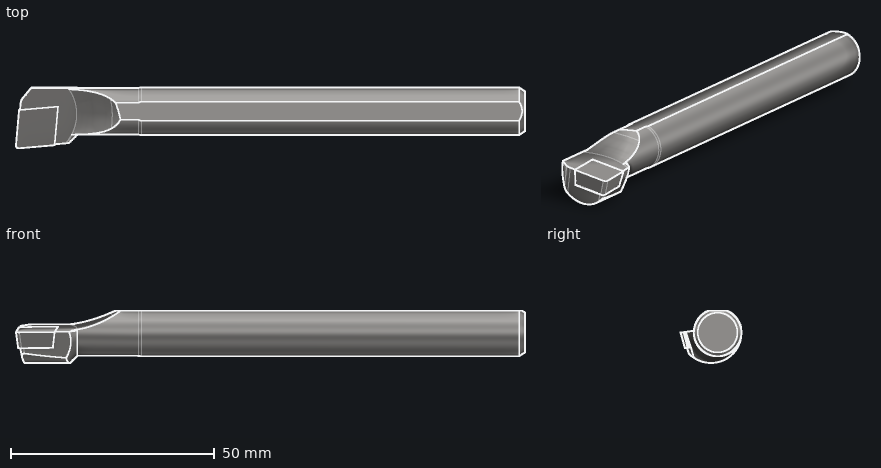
import cadquery as cq
import math

overall_length = 125.0
shank_radius = 5.9
flat_height = 5.4
shank_start = 30.8
shank_chamfer_length = 1.5
shank_chamfer_depth = 1.0
neck_radius = 5.8
neck_start = 11.2
neck_taper_length = 0.8

head_radius = 7.5
head_axis_y = shank_radius - head_radius
head_end = 15.1
corner_chamfer_x = 3.9
corner_chamfer_angle = 50.0
corner_blend_radius = 2.5

tip_y = -9.1
rake_angle = 8.0
insert_side = 9.6
insert_angle = 80.0
lead_angle = 5.0
insert_thickness = 4.0
insert_clearance = 7.0
nose_radius = 0.8

relief_step = 0.2
relief_clearance = 10.0
relief_side = 37.5
relief_depth = 11.2

gullet_axis_x = 3.8
gullet_axis_y = -0.6
gullet_flat_radius = 11.1
gullet_arc_reach = 8.8
gullet_start_angle = 8.0
gullet_end_angle = 31.0
gullet_rim_radius = 27.5

rake = math.radians(rake_angle)
rake_normal = (0, -math.sin(rake), math.cos(rake))
half_angle = math.radians(insert_angle / 2)
bisector = math.radians(lead_angle + insert_angle / 2)
nose_overshoot_x = nose_radius * (math.cos(bisector) / math.sin(half_angle) - 1)
nose_overshoot_y = nose_radius * (math.sin(bisector) / math.sin(half_angle) - 1)
rake_plane = cq.Plane(
    origin=(-nose_overshoot_x, tip_y - nose_overshoot_y * math.cos(rake), 0),
    xDir=(1, 0, 0),
    normal=rake_normal,
)


def rhombus_prism(side, inset, depth, clearance):
    """Rhombus below the rake face, its sides leaning inwards as they go down and its nose rounded."""
    flank = math.radians(lead_angle)
    front = math.radians(lead_angle + insert_angle)
    flank_edge = (side * math.cos(flank), side * math.sin(flank))
    front_edge = (side * math.cos(front), side * math.sin(front))
    far_corner = (flank_edge[0] + front_edge[0], flank_edge[1] + front_edge[1])
    prism = (
        cq.Workplane(rake_plane)
        .center(inset, inset)
        .polyline([(0, 0), flank_edge, far_corner, front_edge])
        .close()
        .extrude(-depth, taper=clearance)
    )
    rake_direction = cq.Vector(*rake_normal)
    side_edges = prism.edges(-cq.selectors.PerpendicularDirSelector(rake_direction))
    return side_edges.edges("<Y").fillet(nose_radius)


def make_insert():
    return rhombus_prism(insert_side, 0, insert_thickness, insert_clearance)


def make_head_blank():
    cylinder = cq.Workplane("YZ", origin=(0, head_axis_y, 0)).circle(head_radius).extrude(head_end)
    envelope_radius = head_radius - head_axis_y
    cone_start = head_end - (envelope_radius - neck_radius)
    profile = [
        (0, 0),
        (0, envelope_radius),
        (cone_start, envelope_radius),
        (head_end, neck_radius),
        (head_end, 0),
    ]
    envelope = (
        cq.Workplane("XY")
        .polyline(profile)
        .close()
        .revolve(360, (0, 0, 0), (1, 0, 0))
    )
    return cylinder.intersect(envelope)


def make_relief():
    return rhombus_prism(relief_side, relief_step, relief_depth, relief_clearance)


def make_corner_cutter():
    reach = corner_chamfer_x * math.tan(math.radians(corner_chamfer_angle))
    return (
        cq.Workplane("XY")
        .polyline([(0, shank_radius - reach), (corner_chamfer_x, shank_radius), (0, shank_radius)])
        .close()
        .extrude(head_radius, both=True)
    )


def make_shank():
    """Round shank and neck with one flat along the top."""
    chamfer_start = overall_length - shank_chamfer_length
    profile = [
        (neck_start, 0),
        (neck_start, neck_radius),
        (shank_start - neck_taper_length, neck_radius),
        (shank_start, shank_radius),
        (chamfer_start, shank_radius),
        (overall_length, shank_radius - shank_chamfer_depth),
        (overall_length, 0),
    ]
    bar = cq.Workplane("XY").polyline(profile).close().revolve(360, (0, 0, 0), (1, 0, 0))
    above_flat = (
        cq.Workplane("XY", origin=(0, 0, flat_height))
        .rect(2 * overall_length, 2 * shank_radius)
        .extrude(shank_radius)
    )
    return bar.cut(above_flat)


def make_gullet():
    start = math.radians(gullet_start_angle)
    end = math.radians(gullet_end_angle)
    middle = (start + end) / 2
    bend_radius = gullet_arc_reach / (math.sin(end) - math.sin(start))

    def arc_point(angle):
        return (gullet_flat_radius + bend_radius * (math.sin(angle) - math.sin(start)),
                bend_radius * (math.cos(start) - math.cos(angle)))

    arc_end = arc_point(end)
    rim_height = arc_end[1] + (gullet_rim_radius - arc_end[0]) * math.tan(end)
    axis_z = (gullet_axis_y - tip_y) * math.tan(rake)
    section_plane = cq.Plane(
        origin=(gullet_axis_x, gullet_axis_y, axis_z),
        xDir=(1, 0, 0),
        normal=(0, -math.cos(rake), -math.sin(rake)),
    )
    return (
        cq.Workplane(section_plane)
        .moveTo(0, 0)
        .lineTo(gullet_flat_radius, 0)
        .threePointArc(arc_point(middle), arc_end)
        .lineTo(gullet_rim_radius, rim_height)
        .lineTo(0, rim_height)
        .close()
        .revolve(360, (0, 0, 0), (0, 1, 0))
    )


def make_holder(insert):
    head = make_head_blank().intersect(make_relief()).cut(make_corner_cutter())
    search_low = (0, 0, -neck_radius)
    search_high = (corner_chamfer_x / 2, shank_radius, 0)
    corner_edge = cq.selectors.BoxSelector(search_low, search_high)
    head = head.edges(corner_edge).fillet(corner_blend_radius)
    return head.union(make_shank()).cut(make_gullet()).cut(insert)


insert = make_insert()
holder = make_holder(insert)
result = cq.Compound.makeCompound([holder.val(), insert.val()])